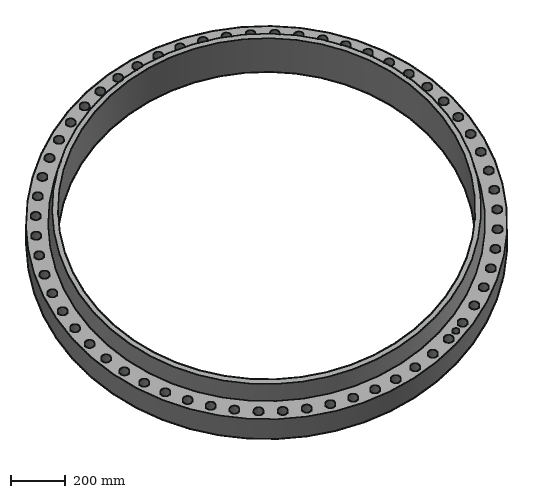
import cadquery as cq

flange_diameter = 1765.0
overall_height = 215.0
flange_thickness = 127.0

hub_base_diameter = 1602.0
hub_top_diameter = 1572.0
hub_bevel_width = 4.0
hub_bevel_height = 0.9
bore_diameter = 1530.0

bolt_count = 60
bolt_circle_diameter = 1695.0
bolt_hole_diameter = 37.0
bolt_pitch_angle = 360.0 / bolt_count

blind_hole_diameter = 26.0
blind_hole_depth = 35.0
pilot_hole_diameter = 16.0
pilot_hole_depth = 53.0
blind_hole_angle = bolt_pitch_angle / 2


def ring_body():
    """Flange ring with its tapered hub, revolved about Z."""
    profile = [
        (bore_diameter / 2, 0),
        (flange_diameter / 2, 0),
        (flange_diameter / 2, flange_thickness),
        (hub_base_diameter / 2, flange_thickness),
        (hub_top_diameter / 2, overall_height - hub_bevel_height),
        (hub_top_diameter / 2 - hub_bevel_width, overall_height),
        (bore_diameter / 2, overall_height),
    ]
    return (
        cq.Workplane("XZ")
        .polyline(profile)
        .close()
        .revolve(360, (0, 0), (0, 1))
    )


def bolt_holes():
    """Cylinders through the flange, evenly spaced on the bolt circle."""
    return (
        cq.Workplane("XY")
        .polarArray(bolt_circle_diameter / 2, 0, 360, bolt_count)
        .circle(bolt_hole_diameter / 2)
        .extrude(flange_thickness)
    )


def blind_hole(diameter, depth):
    """Flat-bottomed hole sunk from the upper flange face."""
    return (
        cq.Workplane("XY", origin=(0, 0, flange_thickness - depth))
        .polarArray(bolt_circle_diameter / 2, blind_hole_angle, 360, 1)
        .circle(diameter / 2)
        .extrude(depth)
    )


result = (
    ring_body()
    .cut(bolt_holes())
    .cut(blind_hole(blind_hole_diameter, blind_hole_depth))
    .cut(blind_hole(pilot_hole_diameter, pilot_hole_depth))
)